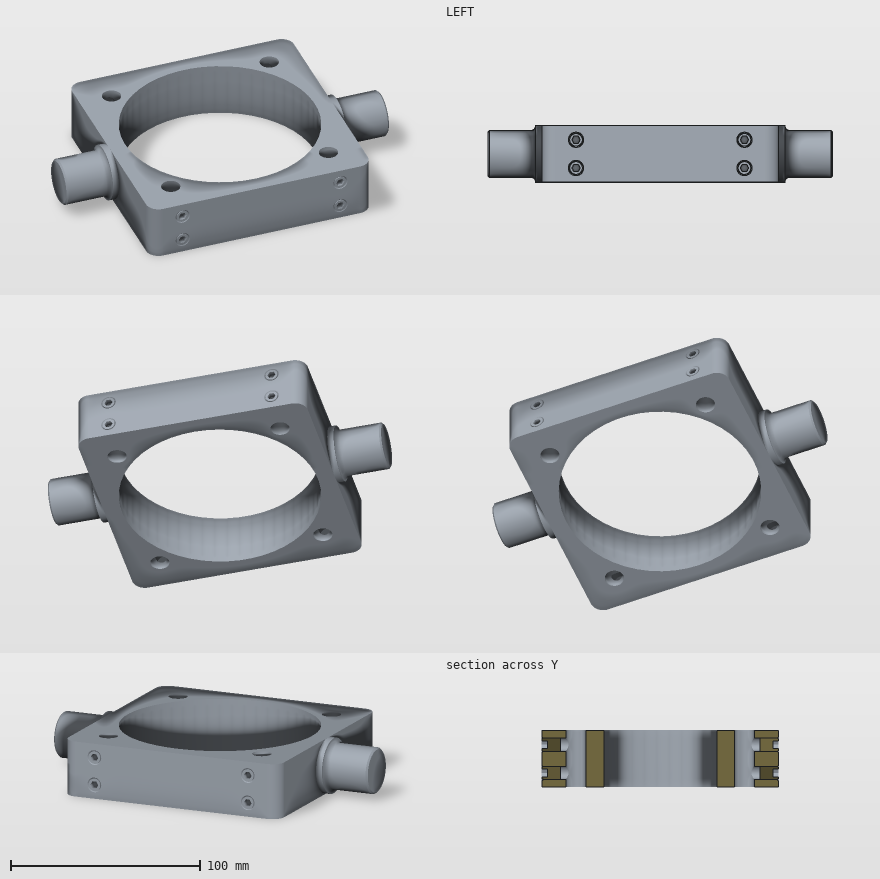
import cadquery as cq
import math

block_side = 125.0
block_height = 30.0
corner_radius = 7.0
bore_diameter = 107.0
half_side = block_side / 2

rod_hole_diameter = 10.2
rod_hole_spacing = 89.0
rod_hole_offset = rod_hole_spacing / 2

overall_length = 182
trunnion_length = overall_length / 2 - half_side
collar_diameter = block_height
collar_length = 3.5
trunnion_diameter = 25.0
trunnion_fillet = 2.0
trunnion_chamfer = 1.0

screw_diameter = 6.7
screw_length = 10.0
screw_spacing_z = 15.0
countersink_diameter = 8.0
countersink_depth = (countersink_diameter - screw_diameter) / 2
socket_across_flats = 3.8
socket_across_corners = socket_across_flats / math.cos(math.radians(30))
socket_depth = 3.0


def make_trunnion(side):
    """Collar and journal turned about Y; side is -1 or +1 for the face they stand on."""
    collar_radius = collar_diameter / 2
    journal_radius = trunnion_diameter / 2
    fillet_end = collar_length + trunnion_fillet
    profile = (
        cq.Workplane("XY")
        .lineTo(collar_radius, 0)
        .lineTo(collar_radius, collar_length)
        .lineTo(journal_radius + trunnion_fillet, collar_length)
        .radiusArc((journal_radius, fillet_end), trunnion_fillet)
        .lineTo(journal_radius, trunnion_length - trunnion_chamfer)
        .lineTo(journal_radius - trunnion_chamfer, trunnion_length)
        .lineTo(0, trunnion_length)
        .close()
    )
    trunnion = profile.revolve(360, (0, 0, 0), (0, 1, 0)).translate((0, half_side, 0))
    return trunnion if side > 0 else trunnion.mirror("XZ")


def screw_plane(side, y, z):
    """Workplane on the -X or +X block face, centred on one screw axis."""
    return cq.Workplane("YZ", origin=(side * half_side, y, z))


def make_screw_hole(side, y, z):
    """Cutter for a countersunk hole from the block face to the axis of the tie-rod hole."""
    hole_depth = half_side - rod_hole_offset
    hole = screw_plane(side, y, z).circle(screw_diameter / 2).extrude(-side * hole_depth)
    countersink = (
        screw_plane(side, y, z)
        .circle(countersink_diameter / 2)
        .workplane(offset=-side * countersink_depth)
        .circle(screw_diameter / 2)
        .loft()
    )
    return hole.union(countersink)


def make_set_screw(side, y, z):
    """Headless screw with a hexagon socket, flush with the block face."""
    body = screw_plane(side, y, z).circle(screw_diameter / 2).extrude(-side * screw_length)
    socket = screw_plane(side, y, z).polygon(6, socket_across_corners).extrude(-side * socket_depth)
    return body.cut(socket)


def make_block(screw_places):
    """Plate with both trunnions, the bore, the tie-rod holes and the screw holes."""
    block = (
        cq.Workplane("XY")
        .box(block_side, block_side, block_height)
        .edges("|Z")
        .fillet(corner_radius)
    )
    for side in (-1, 1):
        block = block.union(make_trunnion(side))
    bore = cq.Workplane("XY").circle(bore_diameter / 2).extrude(block_height / 2, both=True)
    rod_holes = (
        cq.Workplane("XY")
        .rect(rod_hole_spacing, rod_hole_spacing, forConstruction=True)
        .vertices()
        .circle(rod_hole_diameter / 2)
        .extrude(block_height / 2, both=True)
    )
    block = block.cut(bore).cut(rod_holes)
    for side, y, z in screw_places:
        block = block.cut(make_screw_hole(side, y, z))
    return block


screw_places = [
    (side, y, z)
    for side in (-1, 1)
    for y in (-rod_hole_offset, rod_hole_offset)
    for z in (-screw_spacing_z / 2, screw_spacing_z / 2)
]
block = make_block(screw_places)
set_screws = [make_set_screw(side, y, z) for side, y, z in screw_places]

result = cq.Compound.makeCompound([block.solids().val(), *[screw.solids().val() for screw in set_screws]])